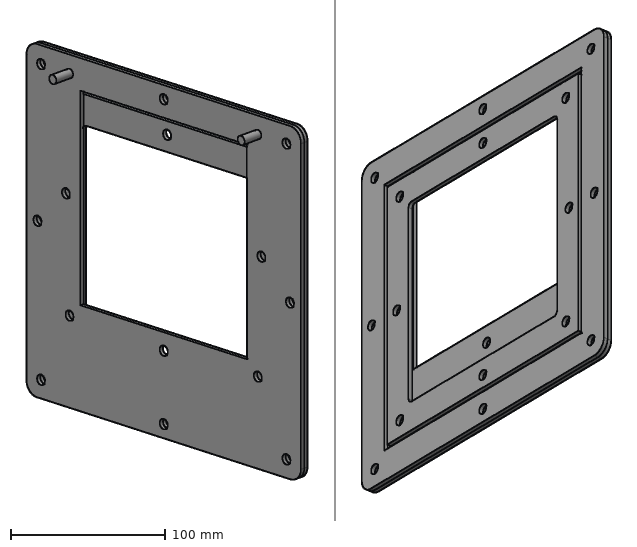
import cadquery as cq

panel_size = 244.475
panel_corner_radius = 9.525
sheet_thickness = 3.175

hole_diameter = 7.14
panel_corner_hole_offset = 109.22
panel_side_hole_offset = 112.4
frame_corner_hole_offset = 83.82
frame_side_hole_offset = 87.0

window_size = 148.4
window_rise = 25.4

frame_size = 193.0
frame_opening_size = 150.0
frame_opening_radius = 3.175

spacer_opening_size = 2 * (window_rise + window_size / 2)

pin_diameter = 6.35
pin_projection = 15.875

cover_front_y = -sheet_thickness
pin_height_z = window_rise + frame_corner_hole_offset
pin_positions = [(side * frame_corner_hole_offset, pin_height_z) for side in (-1, 1)]


def extrude_back(outline, front_y, depth):
    """Extrude an XZ outline from front_y towards +Y."""
    return outline.extrude(-depth).translate((0, front_y, 0))


def square_block(size, front_y):
    """One sheet thickness of a square centred on the panel axis."""
    return extrude_back(cq.Workplane("XZ").rect(size, size), front_y, sheet_thickness)


def cylinders(points, diameter, front_y, depth):
    """Cylinders along Y at the given (x, z) points."""
    return extrude_back(cq.Workplane("XZ").pushPoints(points).circle(diameter / 2), front_y, depth)


def corner_points(offset):
    """The four corners of a square with the given half-width."""
    return [(x, z) for x in (-offset, offset) for z in (-offset, offset)]


def side_points(offset):
    """The four mid-side points of a square with the given half-width."""
    return [(-offset, 0), (offset, 0), (0, -offset), (0, offset)]


def panel_blank(front_y):
    """Rounded square sheet with the eight screw holes along its border."""
    blank = square_block(panel_size, front_y).edges("|Y").fillet(panel_corner_radius)
    points = corner_points(panel_corner_hole_offset) + side_points(panel_side_hole_offset)
    return blank.cut(cylinders(points, hole_diameter, front_y, sheet_thickness))


def make_cover_plate():
    """Front sheet with the raised window, frame screw holes and pin seats."""
    window = square_block(window_size, cover_front_y).translate((0, 0, window_rise))
    frame_screw_points = [
        (-frame_corner_hole_offset, window_rise - frame_corner_hole_offset),
        (frame_corner_hole_offset, window_rise - frame_corner_hole_offset),
        (-frame_side_hole_offset, window_rise),
        (frame_side_hole_offset, window_rise),
        (0, window_rise - frame_side_hole_offset),
    ]
    frame_screw_holes = cylinders(frame_screw_points, hole_diameter, cover_front_y, sheet_thickness)
    pin_seats = cylinders(pin_positions, pin_diameter, cover_front_y, sheet_thickness)
    return panel_blank(cover_front_y).cut(window).cut(frame_screw_holes).cut(pin_seats)


def make_spacer_ring():
    """Rear sheet, a border that surrounds the inner frame."""
    return panel_blank(0).cut(square_block(spacer_opening_size, 0))


def make_inner_frame():
    """Square frame behind the cover plate, with its own eight screw holes."""
    opening = square_block(frame_opening_size, 0).edges("|Y").fillet(frame_opening_radius)
    points = corner_points(frame_corner_hole_offset) + side_points(frame_side_hole_offset)
    holes = cylinders(points, hole_diameter, 0, sheet_thickness)
    return square_block(frame_size, 0).cut(opening).cut(holes)


def make_pin(position):
    """Pin running from the back of the cover plate out past its front face."""
    pin_length = pin_projection + sheet_thickness
    return cylinders([position], pin_diameter, -pin_length, pin_length)


cover_plate = make_cover_plate()
spacer_ring = make_spacer_ring()
inner_frame = make_inner_frame()
pins = [make_pin(position) for position in pin_positions]

result = cq.Compound.makeCompound(
    [cover_plate.val(), spacer_ring.val(), inner_frame.val(), *[pin.val() for pin in pins]]
)